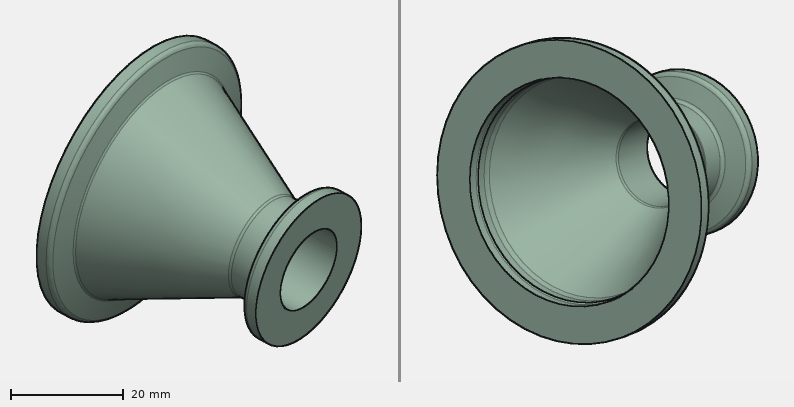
import cadquery as cq
import math

length = 40.0
large_flange_radius = 27.5
small_flange_radius = 15.0
rim_width = 2.9
taper_angle = 15.0
neck_radius = 10.0
cone_base_radius = 22.2
cone_end_x = 30.05

rim_rounding = 1.0
cone_root_rounding = 0.55
cone_neck_rounding = 1.3
flange_root_rounding = 0.75

large_bore_radius = 20.4
small_bore_radius = 8.05
recess_radius = 20.7
recess_depth = 2.35
bore_cone_start_x = 5.05
bore_cone_end_x = 29.7
bore_start_rounding = 2.85
bore_end_rounding = 1.3

taper = math.tan(math.radians(taper_angle))
cone_base_x = rim_width + taper * (large_flange_radius - cone_base_radius)
small_rim_x = length - rim_width
neck_end_x = small_rim_x - taper * (small_flange_radius - neck_radius)


def turned(profile):
    """Revolve (x, radius) points, closed along the X axis, into a solid."""
    start_x = profile[0][0]
    end_x = profile[-1][0]
    points = [(start_x, 0), *profile, (end_x, 0)]
    return cq.Workplane("XY").polyline(points).close().revolve(360, (0, 0, 0), (1, 0, 0))


def round_ring(body, x, radius):
    """Fillet the circular edge whose centre lies on the axis at x."""
    reach = 0.05
    ring = cq.selectors.BoxSelector((x - reach, -reach, -reach), (x + reach, reach, reach))
    return body.edges("%CIRCLE").edges(ring).fillet(radius)


body = turned([
    (0, large_flange_radius),
    (rim_width, large_flange_radius),
    (cone_base_x, cone_base_radius),
    (cone_end_x, neck_radius),
    (neck_end_x, neck_radius),
    (small_rim_x, small_flange_radius),
    (length, small_flange_radius),
])
for ring_x, rounding in (
    (rim_width, rim_rounding),
    (cone_base_x, cone_root_rounding),
    (cone_end_x, cone_neck_rounding),
    (neck_end_x, flange_root_rounding),
    (small_rim_x, rim_rounding),
):
    body = round_ring(body, ring_x, rounding)

bore = turned([
    (0, large_bore_radius),
    (bore_cone_start_x, large_bore_radius),
    (bore_cone_end_x, small_bore_radius),
    (length, small_bore_radius),
])
bore = round_ring(bore, bore_cone_start_x, bore_start_rounding)
bore = round_ring(bore, bore_cone_end_x, bore_end_rounding)

recess = cq.Workplane("YZ").circle(recess_radius).extrude(recess_depth)
recess = round_ring(recess, recess_depth, recess_radius - large_bore_radius)

result = body.cut(bore).cut(recess)